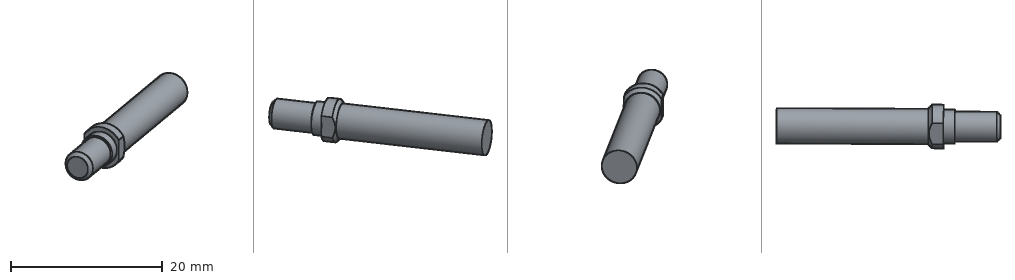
import cadquery as cq

total_length = 29.5
pin_length = 6.0
shoulder_length = 1.5
collar_length = 2.0

pin_diameter = 4.0
shoulder_diameter = 4.5
collar_diameter = 5.8
shank_diameter = 4.7

tip_chamfer = 0.5
collar_chamfer = 0.5
flats_width = 5.0

shoulder_start = pin_length
collar_start = shoulder_start + shoulder_length
collar_end = collar_start + collar_length


def turned_body():
    """Stepped round body: half profile in the XY plane revolved about Y."""
    pin_radius = pin_diameter / 2
    shoulder_radius = shoulder_diameter / 2
    collar_radius = collar_diameter / 2
    shank_radius = shank_diameter / 2
    profile = [
        (0, 0),
        (pin_radius - tip_chamfer, 0),
        (pin_radius, tip_chamfer),
        (pin_radius, shoulder_start),
        (shoulder_radius, shoulder_start),
        (shoulder_radius, collar_start),
        (collar_radius, collar_start),
        (collar_radius, collar_end - collar_chamfer),
        (collar_radius - collar_chamfer, collar_end),
        (shank_radius, collar_end),
        (shank_radius, total_length),
        (0, total_length),
    ]
    return cq.Workplane("XY").polyline(profile).close().revolve(360, (0, 0, 0), (0, 1, 0))


def flats_envelope():
    """Slab whose two X faces trim the collar to parallel flats."""
    return cq.Workplane("XY").box(
        flats_width, total_length, collar_diameter, centered=(True, False, True)
    )


result = turned_body().intersect(flats_envelope())